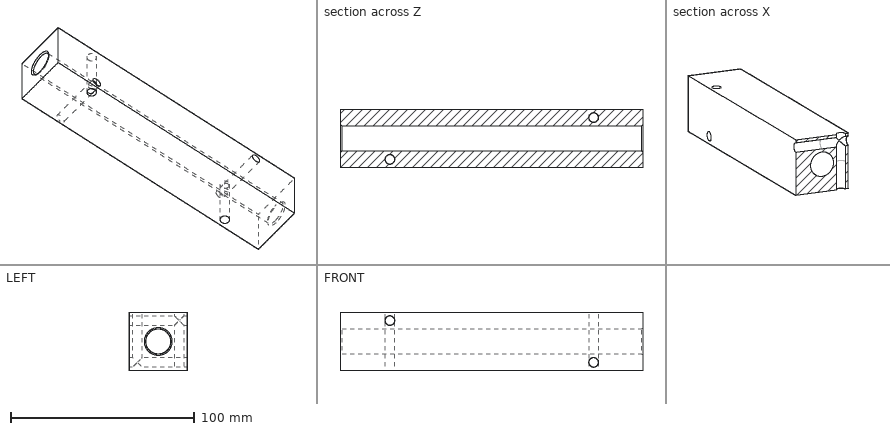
import cadquery as cq

length = 165.1
side = 31.7

bore_diameter = 13.5
mouth_diameter = 15.2
mouth_chamfer = (mouth_diameter - bore_diameter) / 2

cross_diameter = 5.1
cross_spacing = 111.1
edge_distance = 4.5

half_spacing = cross_spacing / 2
cross_offset = side / 2 - edge_distance


def chamfered_bar():
    """Bar with the axial bore, both bore mouths chamfered."""
    bar = cq.Workplane("XY").box(length, side, side)
    bar = bar.faces("<X").workplane().hole(bore_diameter)
    return bar.faces("<X or >X").edges("%CIRCLE").chamfer(mouth_chamfer)


def cross_holes(plane, centers):
    """Pair of cylinders running through the full width of the bar."""
    return cq.Workplane(plane).pushPoints(centers).circle(cross_diameter / 2).extrude(side, both=True)


result = chamfered_bar()

result = result.cut(cross_holes("XZ", [(-half_spacing, cross_offset), (half_spacing, -cross_offset)]))

result = result.cut(cross_holes("XY", [(-half_spacing, -cross_offset), (half_spacing, cross_offset)]))